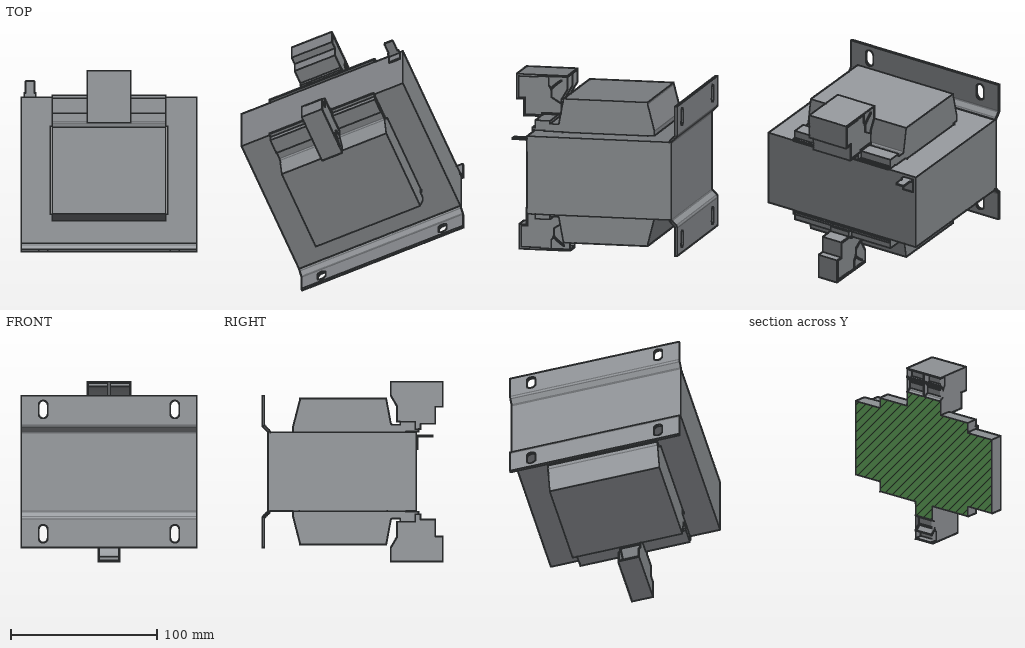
import cadquery as cq
import math


CORE_WIDTH = 120.06
CORE_DEPTH = 100.0
CORE_HEIGHT = 54.0
LIMB_WIDTH = 20.0
WINDOW_WIDTH = CORE_WIDTH - 2 * LIMB_WIDTH

SHEET = 1.5
JOG_DEPTH = 4.0
FLANGE_SPAN = 104.0
BEND_INNER_RADIUS = 1.0
BEND_OUTER_RADIUS = BEND_INNER_RADIUS + SHEET
BEND_ANGLE = 45.0
JOG_FRONT_Z = 27.1
SLOT_SPACING_X = 90.0
SLOT_SPACING_Z = 85.0
SLOT_LENGTH = 12.0
SLOT_WIDTH = 6.0

COVER_WIDTH = 77.7
COVER_TOP_Z = 50.0
COVER_FRONT_Y = 21.05
COVER_SHOULDER_Z = 30.5
COVER_TOP_FRONT_Y = 25.8
COVER_BROW_HEIGHT = 1.0
COVER_TOP_BACK_Y = 84.9
GROOVE_FRONT_Y = 88.2
GROOVE_FLOOR_Z = 32.2
GROOVE_RADIUS = 1.0
RAIL_FRONT_Y = 94.4
RAIL_BACK_Y = 104.8
RAIL_TOP_Z = 34.25
LEDGE_BACK_Y = 107.0
LEDGE_TOP_Z = 29.0
LEDGE_CLEARANCE = 0.4
LEDGE_RELIEF_Y = 98.3

TERMINAL_WIDTH = 15.0
TERMINAL_WALL = 0.7
TERMINAL_TOP_Z = 61.55
TERMINAL_BACK_Y = 123.62
TERMINAL_FRONT_Y = 87.9
TERMINAL_NECK_Y = 92.2
TERMINAL_HEAD_BOTTOM_Z = 44.3
TERMINAL_BASE_BACK_Y = 118.4
TERMINAL_BASE_BOTTOM_Z = 32.7
HOOK_BACK_Y = 108.45
CHEEK_TOP_Z = 52.0
CHEEK_BOTTOM_Z = 44.7
ENTRY_ROOF_THICKNESS = 1.05
ENTRY_FLOOR_Z = 42.0
ENTRY_BACK_Y = 101.1
CLIP_THICKNESS = 0.7
PANEL_DEPTH = 0.2
PANEL_MARGIN = 1.0
PANEL_WIDE_MARGIN = 1.55
PANEL_STEP_Y = 108.7

TAB_X = -54.0
TAB_FOOT_WIDTH = 8.0
TAB_BLADE_WIDTH = 6.3
TAB_THICKNESS = 0.8
TAB_TOP_Z = 24.7
TAB_FOOT_BOTTOM_Z = 15.3
TAB_SHOULDER_Y = 108.5
TAB_TIP_Y = 116.8
TAB_CHAMFER = 0.7
TAB_TIP_BEVEL = 0.25

CORE_FRONT_Y = JOG_DEPTH + SHEET
CORE_BACK_Y = CORE_FRONT_Y + CORE_DEPTH
WINDOW_FRONT_Y = CORE_FRONT_Y + LIMB_WIDTH
WINDOW_BACK_Y = CORE_BACK_Y - LIMB_WIDTH
CORE_TOP_Z = CORE_HEIGHT / 2
ENTRY_ROOF_Z = TERMINAL_TOP_Z - ENTRY_ROOF_THICKNESS


def box(x_range, y_range, z_range):
    """Axis-aligned block from its limits along X, Y and Z."""
    size = [high - low for low, high in (x_range, y_range, z_range)]
    corner = (x_range[0], y_range[0], z_range[0])
    return cq.Workplane("XY").box(*size, centered=False).translate(corner)


def prism(outline, x_start, width):
    """Extrude a closed (Y, Z) outline along +X."""
    return cq.Workplane("YZ").workplane(offset=x_start).polyline(outline).close().extrude(width)


def mirrored(body):
    """The body together with its reflection in the Z = 0 plane."""
    return body.union(body.mirror("XY"))


def fillet_along_x(body, y, z, radius):
    """Round the edge along X whose midpoint lies at (0, y, z)."""
    reach = 0.1
    selector = cq.selectors.BoxSelector(
        (-reach, y - reach, z - reach), (reach, y + reach, z + reach)
    )
    return body.edges(selector).fillet(radius)


def make_core():
    core = box(
        (-CORE_WIDTH / 2, CORE_WIDTH / 2),
        (CORE_FRONT_Y, CORE_BACK_Y),
        (-CORE_TOP_Z, CORE_TOP_Z),
    )
    for inner_x, outer_x in (
        (-WINDOW_WIDTH / 2, -COVER_WIDTH / 2),
        (COVER_WIDTH / 2, WINDOW_WIDTH / 2),
    ):
        gap = box(
            (inner_x, outer_x),
            (WINDOW_FRONT_Y, WINDOW_BACK_Y),
            (-CORE_TOP_Z, CORE_TOP_Z),
        )
        core = core.cut(gap)
    return core


def make_bracket():
    """Back plate with an angled jog to a slotted flange above and below."""
    bend_shift = SHEET * math.tan(math.radians(BEND_ANGLE / 2))
    flange_front_z = JOG_FRONT_Z + JOG_DEPTH / math.tan(math.radians(BEND_ANGLE))
    flange_back_z = flange_front_z + bend_shift
    plate_back_z = JOG_FRONT_Z + bend_shift
    half = [
        (JOG_DEPTH, 0),
        (JOG_DEPTH, JOG_FRONT_Z),
        (0, flange_front_z),
        (0, FLANGE_SPAN / 2),
        (SHEET, FLANGE_SPAN / 2),
        (SHEET, flange_back_z),
        (CORE_FRONT_Y, plate_back_z),
        (CORE_FRONT_Y, 0),
    ]
    bracket = prism(half, -CORE_WIDTH / 2, CORE_WIDTH)
    for y, z, radius in (
        (JOG_DEPTH, JOG_FRONT_Z, BEND_INNER_RADIUS),
        (CORE_FRONT_Y, plate_back_z, BEND_OUTER_RADIUS),
        (0, flange_front_z, BEND_OUTER_RADIUS),
        (SHEET, flange_back_z, BEND_INNER_RADIUS),
    ):
        bracket = fillet_along_x(bracket, y, z, radius)
    slots = (
        cq.Workplane("XZ")
        .rarray(SLOT_SPACING_X, SLOT_SPACING_Z, 2, 2)
        .slot2D(SLOT_LENGTH, SLOT_WIDTH, 90)
        .extrude(-SHEET)
    )
    return mirrored(bracket).cut(slots)


def make_cover():
    """Upper coil cover: sloped hood, groove, terminal rail and rear ledge."""
    outline = [
        (COVER_FRONT_Y, CORE_TOP_Z),
        (COVER_FRONT_Y, COVER_SHOULDER_Z),
        (COVER_TOP_FRONT_Y, COVER_TOP_Z - COVER_BROW_HEIGHT),
        (COVER_TOP_FRONT_Y, COVER_TOP_Z),
        (COVER_TOP_BACK_Y, COVER_TOP_Z),
        (GROOVE_FRONT_Y, GROOVE_FLOOR_Z),
        (RAIL_FRONT_Y, GROOVE_FLOOR_Z),
        (RAIL_FRONT_Y, RAIL_TOP_Z),
        (RAIL_BACK_Y, RAIL_TOP_Z),
        (RAIL_BACK_Y, LEDGE_TOP_Z),
        (LEDGE_BACK_Y, LEDGE_TOP_Z),
        (LEDGE_BACK_Y, CORE_TOP_Z + LEDGE_CLEARANCE),
        (LEDGE_RELIEF_Y, CORE_TOP_Z + LEDGE_CLEARANCE),
        (LEDGE_RELIEF_Y, CORE_TOP_Z),
    ]
    cover = prism(outline, -COVER_WIDTH / 2, COVER_WIDTH)
    return fillet_along_x(cover, GROOVE_FRONT_Y, GROOVE_FLOOR_Z, GROOVE_RADIUS)


ENTRY_WALL = [
    (ENTRY_BACK_Y, ENTRY_ROOF_Z),
    (ENTRY_BACK_Y, 54.4),
    (100.1, 53.3),
    (99.15, 50.7),
    (99.15, 46.3),
    (98.0, 45.5),
    (TERMINAL_NECK_Y, ENTRY_FLOOR_Z),
]

CLIP_TIP = (92.25, 58.0)
CLIP_MIDDLE = (95.8, 55.4)
CLIP_ROOT = (99.4, 52.0)


def make_clip(x_start, width):
    """Curved leaf spring that crosses the wire entry."""
    plane = cq.Workplane("YZ").workplane(offset=x_start)
    path = plane.moveTo(*CLIP_TIP).threePointArc(CLIP_MIDDLE, CLIP_ROOT)
    return path.offset2D(CLIP_THICKNESS / 2).extrude(width)


def make_terminal(x_start):
    """One upper terminal block, hooked over the rear of the rail."""
    housing_outline = [
        (TERMINAL_BACK_Y, TERMINAL_TOP_Z),
        (TERMINAL_FRONT_Y, TERMINAL_TOP_Z),
        (TERMINAL_FRONT_Y, CHEEK_TOP_Z),
        (TERMINAL_NECK_Y, CHEEK_BOTTOM_Z),
        (TERMINAL_NECK_Y, RAIL_TOP_Z),
        (RAIL_BACK_Y, RAIL_TOP_Z),
        (RAIL_BACK_Y, LEDGE_TOP_Z),
        (HOOK_BACK_Y, LEDGE_TOP_Z),
        (HOOK_BACK_Y, TERMINAL_BASE_BOTTOM_Z),
        (TERMINAL_BASE_BACK_Y, TERMINAL_BASE_BOTTOM_Z),
        (TERMINAL_BASE_BACK_Y, TERMINAL_HEAD_BOTTOM_Z),
        (TERMINAL_BACK_Y, TERMINAL_HEAD_BOTTOM_Z),
    ]
    housing = prism(housing_outline, x_start, TERMINAL_WIDTH)
    entry_outline = ENTRY_WALL + [
        (TERMINAL_FRONT_Y, ENTRY_FLOOR_Z),
        (TERMINAL_FRONT_Y, ENTRY_ROOF_Z),
    ]
    entry_x = x_start + TERMINAL_WALL
    entry_width = TERMINAL_WIDTH - 2 * TERMINAL_WALL
    entry = prism(entry_outline, entry_x, entry_width)
    return housing.cut(entry).union(make_clip(entry_x, entry_width))


def make_side_relief(x_face):
    """Shallow cutter that outlines the insert and the clip on the -X face."""
    rail_z = RAIL_TOP_Z + PANEL_MARGIN
    rail_y = RAIL_BACK_Y + PANEL_MARGIN
    base_z = TERMINAL_BASE_BOTTOM_Z + PANEL_MARGIN
    base_y = TERMINAL_BASE_BACK_Y - PANEL_MARGIN
    head_z = TERMINAL_HEAD_BOTTOM_Z + PANEL_MARGIN
    back_y = TERMINAL_BACK_Y - PANEL_WIDE_MARGIN
    top_z = TERMINAL_TOP_Z - PANEL_WIDE_MARGIN
    panel_outline = ENTRY_WALL + [
        (TERMINAL_NECK_Y, rail_z),
        (rail_y, rail_z),
        (rail_y, base_z),
        (base_y, base_z),
        (base_y, head_z),
        (back_y, head_z),
        (back_y, top_z),
        (PANEL_STEP_Y, top_z),
        (PANEL_STEP_Y, ENTRY_ROOF_Z),
    ]
    panel = prism(panel_outline, x_face, PANEL_DEPTH)
    return panel.union(make_clip(x_face, PANEL_DEPTH))


def make_terminal_row(count):
    """Adjoining upper terminals centred on X = 0."""
    x_first = -count * TERMINAL_WIDTH / 2
    row = make_terminal(x_first)
    for index in range(1, count):
        row = row.union(make_terminal(x_first + index * TERMINAL_WIDTH))
    return row.cut(make_side_relief(x_first))


def make_earth_tab():
    """Blade connector with a foot bent down against the rear of the core."""
    half_foot = TAB_FOOT_WIDTH / 2
    half_blade = TAB_BLADE_WIDTH / 2
    foot_x = (TAB_X - half_foot, TAB_X + half_foot)
    blade_z = (TAB_TOP_Z - TAB_THICKNESS, TAB_TOP_Z)
    foot = box(foot_x, (CORE_BACK_Y, CORE_BACK_Y + TAB_THICKNESS), (TAB_FOOT_BOTTOM_Z, TAB_TOP_Z))
    shoulder = box(foot_x, (CORE_BACK_Y, TAB_SHOULDER_Y), blade_z)
    blade = box((TAB_X - half_blade, TAB_X + half_blade), (CORE_BACK_Y, TAB_TIP_Y), blade_z)
    blade = blade.edges("|Z and >Y").chamfer(TAB_CHAMFER)
    blade = blade.faces(">Y").edges("|X").chamfer(TAB_TIP_BEVEL)
    return foot.union(shoulder).union(blade)


upper_terminals = make_terminal_row(2)
lower_terminal = make_terminal_row(1).mirror("XY")

result = (
    make_core()
    .union(make_bracket())
    .union(mirrored(make_cover()))
    .union(upper_terminals)
    .union(lower_terminal)
    .union(make_earth_tab())
)